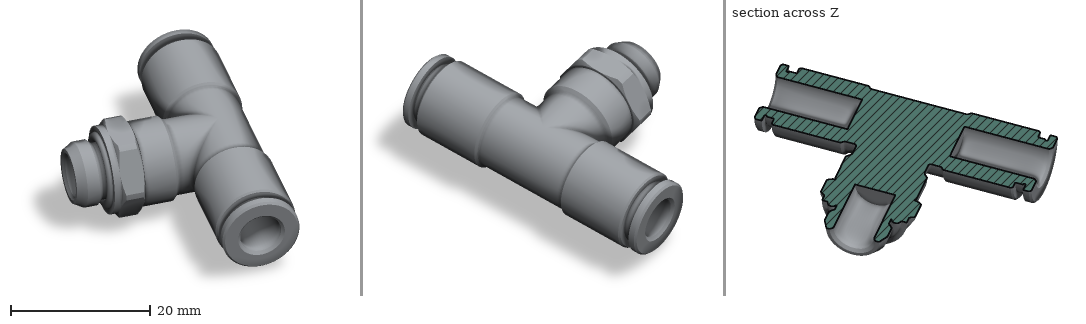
import cadquery as cq
import math


tee_radius = 5.55
tee_blend_radius = 0.35

run_half_length = 42.41 / 2
collar_radius = 6.0
collar_inner_end = 7.85
collar_outer_end = 18.47
collar_rim_chamfer = 0.25
collar_cone_height = 0.35
neck_radius = 4.8
neck_end = 19.65
groove_radius = 4.6
flange_radius = 5.79
flange_start = 19.95
flange_chamfer = 0.3

branch_length = 22.5
body_radius = 6.25
body_start = 8.2
body_end = 12.85
body_cone_height = 0.5
swivel_gap_radius = 6.1
washer_radius = 6.5
washer_end = 17.55
seal_outer_radius = 5.65
seal_crest = 18.2
undercut_radius = 4.17
undercut_end = 18.55
thread_radius = 4.84
thread_taper_start = 21.1
thread_tip_radius = 4.05

hex_across_flats = 13.0
hex_corner_radius = 7.25
hex_start = 13.0
hex_end = 16.5
hex_chamfer_angle = math.radians(30)

bore_radius = 3.07
mouth_radius = 3.5
run_bore_depth = run_half_length - collar_inner_end
branch_bore_depth = branch_length - hex_start

shoulder_angle = math.radians(45)


def add_shoulder(profile, shoulder_end, shoulder_radius, cone_height):
    """Continue a profile from the tee barrel up to a larger radius.

    An arc leaves the barrel tangentially, then a 45 degree cone climbs the last `cone_height`.
    """
    rise = shoulder_radius - cone_height - tee_radius
    arc_radius = rise / (1 - math.cos(shoulder_angle))
    cone_start = shoulder_end - cone_height
    arc_start = cone_start - arc_radius * math.sin(shoulder_angle)
    middle = (
        arc_start + arc_radius * math.sin(shoulder_angle / 2),
        tee_radius + arc_radius * (1 - math.cos(shoulder_angle / 2)),
    )
    return (
        profile.lineTo(arc_start, tee_radius)
        .threePointArc(middle, (cone_start, tee_radius + rise))
        .lineTo(shoulder_end, shoulder_radius)
    )


def revolve_about_axis(profile, length):
    """Close a profile down to its axis and turn it into a solid along +X."""
    return profile.lineTo(length, 0).close().revolve(360, (0, 0, 0), (1, 0, 0))


def onto_branch(shape):
    """Turn a shape from the +X axis onto the -Y axis."""
    return shape.rotate((0, 0, 0), (0, 0, 1), -90)


def make_tee_barrel():
    """Crossing barrels of equal radius with their crossing edges blended."""
    run_barrel = cq.Workplane("YZ").circle(tee_radius).extrude(collar_outer_end, both=True)
    branch_barrel = cq.Workplane("XZ").circle(tee_radius).extrude(body_end)
    barrel = run_barrel.union(branch_barrel)
    return barrel.edges("%ELLIPSE").fillet(tee_blend_radius)


def make_run_end():
    """Collar, release sleeve and flange on the +X side, starting inside the barrel."""
    start = tee_radius + tee_blend_radius
    profile = cq.Workplane("XZ").moveTo(start, 0).lineTo(start, tee_radius)
    profile = add_shoulder(profile, collar_inner_end, collar_radius, collar_cone_height)
    profile = (
        profile.lineTo(collar_outer_end - collar_rim_chamfer, collar_radius)
        .lineTo(collar_outer_end, collar_radius - collar_rim_chamfer)
        .lineTo(collar_outer_end, neck_radius)
        .lineTo(neck_end, neck_radius)
        .lineTo(neck_end, groove_radius)
        .lineTo(flange_start, groove_radius)
        .lineTo(flange_start, flange_radius)
        .lineTo(run_half_length - flange_chamfer, flange_radius)
        .lineTo(run_half_length, flange_radius - flange_chamfer)
    )
    return revolve_about_axis(profile, run_half_length)


def make_branch_end():
    """Swivel body, washer, seal ring and threaded end, turned onto the -Y axis."""
    start = tee_radius + tee_blend_radius
    seal_crest_radius = (seal_outer_radius + undercut_radius) / 2
    thread_start = undercut_end + thread_radius - undercut_radius
    profile = cq.Workplane("XZ").moveTo(start, 0).lineTo(start, tee_radius)
    profile = add_shoulder(profile, body_start, body_radius, body_cone_height)
    profile = (
        profile.lineTo(body_end, body_radius)
        .lineTo(body_end, swivel_gap_radius)
        .lineTo(hex_start, swivel_gap_radius)
        .lineTo(hex_start, washer_radius)
        .lineTo(washer_end, washer_radius)
        .lineTo(washer_end, seal_outer_radius)
        .threePointArc((seal_crest, seal_crest_radius), (washer_end, undercut_radius))
        .lineTo(undercut_end, undercut_radius)
        .lineTo(thread_start, thread_radius)
        .lineTo(thread_taper_start, thread_radius)
        .lineTo(branch_length, thread_tip_radius)
    )
    return onto_branch(revolve_about_axis(profile, branch_length))


def make_hex_nut():
    """Hexagon with two flats facing +Z and -Z, trimmed round at its corners and both rims."""
    half_flats = hex_across_flats / 2
    chamfer_length = (hex_corner_radius - half_flats) * math.tan(hex_chamfer_angle)
    corner_diameter = hex_across_flats / math.cos(math.pi / 6)
    hexagon = (
        cq.Workplane("XZ", origin=(0, -hex_start, 0))
        .polygon(6, corner_diameter)
        .extrude(hex_end - hex_start)
    )
    trim_profile = (
        cq.Workplane("XZ")
        .moveTo(hex_start, 0)
        .lineTo(hex_start, half_flats)
        .lineTo(hex_start + chamfer_length, hex_corner_radius)
        .lineTo(hex_end - chamfer_length, hex_corner_radius)
        .lineTo(hex_end, half_flats)
    )
    return hexagon.intersect(onto_branch(revolve_about_axis(trim_profile, hex_end)))


def make_bore(end, depth):
    """Cutter for a flat-bottomed bore with a chamfered mouth at `end` on the +X axis."""
    mouth_chamfer = mouth_radius - bore_radius
    profile = (
        cq.Workplane("XZ")
        .moveTo(end - depth, 0)
        .lineTo(end - depth, bore_radius)
        .lineTo(end - mouth_chamfer, bore_radius)
        .lineTo(end, mouth_radius)
    )
    return revolve_about_axis(profile, end)


run_end = make_run_end()
run_bore = make_bore(run_half_length, run_bore_depth)
branch_bore = onto_branch(make_bore(branch_length, branch_bore_depth))

fitting = make_tee_barrel().union(make_branch_end()).union(make_hex_nut())
fitting = fitting.union(run_end).union(run_end.mirror("YZ"))
result = fitting.cut(run_bore).cut(run_bore.mirror("YZ")).cut(branch_bore)